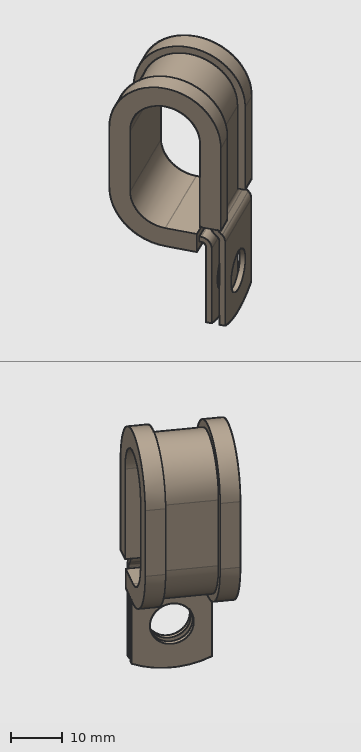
import cadquery as cq
import math

width = 18.9
height = 55.75
loop_width = 22.8
opening_width = 14.3
outer_radius = loop_width / 2
opening_radius = opening_width / 2
bend_spacing = 14.2
right_leg_end_z = -5.35
lower_leg_end_x = 6.5

groove_width = 10.8
groove_depth = 1.55
strip_width = 15.95
strip_thickness = 1.15
strip_outer_radius = outer_radius - groove_depth
strip_inner_radius = strip_outer_radius - strip_thickness

tab_bottom_z = bend_spacing + outer_radius - height
near_tab_x = 9.05
far_tab_overhang = 0.4
far_tab_x = outer_radius + far_tab_overhang
bend_outer_radius = 2.2
bend_inner_radius = bend_outer_radius - strip_thickness
jog_upper_radius = 1.5
tab_end_sagitta = 1.6
hole_diameter = 8.7
hole_to_tab_end = 9.5
hole_z = tab_bottom_z + hole_to_tab_end

diagonal = math.sqrt(0.5)


def extrude_centred(profile, depth):
    """Extrude an XZ outline equally to both sides of the Y = 0 plane."""
    return profile.extrude(depth / 2, both=True)


def loop_band(outer, inner, depth):
    """J-shaped band between two concentric loop outlines."""
    profile = (
        cq.Workplane("XZ")
        .moveTo(outer, right_leg_end_z)
        .lineTo(outer, bend_spacing)
        .threePointArc((0, bend_spacing + outer), (-outer, bend_spacing))
        .lineTo(-outer, 0)
        .threePointArc((-outer * diagonal, -outer * diagonal), (0, -outer))
        .lineTo(lower_leg_end_x, -outer)
        .lineTo(lower_leg_end_x, -inner)
        .lineTo(0, -inner)
        .threePointArc((-inner * diagonal, -inner * diagonal), (-inner, 0))
        .lineTo(-inner, bend_spacing)
        .threePointArc((0, bend_spacing + inner), (inner, bend_spacing))
        .lineTo(inner, right_leg_end_z)
        .close()
    )
    return extrude_centred(profile, depth)


def cushion():
    """Rubber loop with a groove around its outside."""
    body = loop_band(outer_radius, opening_radius, width)
    return body.cut(loop_band(outer_radius, strip_outer_radius, groove_width))


def near_tab():
    """Tab turned down through a right angle from the lower leg."""
    centre_x = near_tab_x - bend_outer_radius
    centre_z = -strip_inner_radius - bend_outer_radius
    inner_reach = bend_inner_radius * diagonal
    outer_reach = bend_outer_radius * diagonal
    profile = (
        cq.Workplane("XZ")
        .moveTo(lower_leg_end_x, -strip_inner_radius)
        .lineTo(centre_x, -strip_inner_radius)
        .threePointArc((centre_x + outer_reach, centre_z + outer_reach), (near_tab_x, centre_z))
        .lineTo(near_tab_x, tab_bottom_z)
        .lineTo(near_tab_x - strip_thickness, tab_bottom_z)
        .lineTo(near_tab_x - strip_thickness, centre_z)
        .threePointArc(
            (centre_x + inner_reach, centre_z + inner_reach),
            (centre_x, -strip_outer_radius),
        )
        .lineTo(lower_leg_end_x, -strip_outer_radius)
        .close()
    )
    return extrude_centred(profile, strip_width)


def far_tab():
    """Tab jogged outward at 45 degrees below the right leg."""
    upper_x = strip_outer_radius + jog_upper_radius
    upper_z = right_leg_end_z
    lower_x = far_tab_x - bend_outer_radius
    lower_z = upper_z + (upper_x - lower_x) - (jog_upper_radius + bend_outer_radius) / diagonal

    def upper_point(radius, angle):
        turn = math.radians(angle)
        return upper_x - radius * math.cos(turn), upper_z - radius * math.sin(turn)

    def lower_point(radius, angle):
        turn = math.radians(angle)
        return lower_x + radius * math.cos(turn), lower_z + radius * math.sin(turn)

    jog_left_radius = jog_upper_radius + strip_thickness
    profile = (
        cq.Workplane("XZ")
        .moveTo(*upper_point(jog_upper_radius, 0))
        .threePointArc(upper_point(jog_upper_radius, 22.5), upper_point(jog_upper_radius, 45))
        .lineTo(*lower_point(bend_outer_radius, 45))
        .threePointArc(lower_point(bend_outer_radius, 22.5), lower_point(bend_outer_radius, 0))
        .lineTo(far_tab_x, tab_bottom_z)
        .lineTo(far_tab_x - strip_thickness, tab_bottom_z)
        .lineTo(*lower_point(bend_inner_radius, 0))
        .threePointArc(lower_point(bend_inner_radius, 22.5), lower_point(bend_inner_radius, 45))
        .lineTo(*upper_point(jog_left_radius, 45))
        .threePointArc(upper_point(jog_left_radius, 22.5), upper_point(jog_left_radius, 0))
        .close()
    )
    return extrude_centred(profile, strip_width)


def tab_outline():
    """Plate along X with a rounded lower end and a bolt hole, used to trim both tabs."""
    half_width = strip_width / 2
    corner_z = tab_bottom_z + tab_end_sagitta
    return (
        cq.Workplane("YZ")
        .moveTo(-half_width, 0)
        .lineTo(-half_width, corner_z)
        .threePointArc((0, tab_bottom_z), (half_width, corner_z))
        .lineTo(half_width, 0)
        .close()
        .moveTo(0, hole_z)
        .circle(hole_diameter / 2)
        .extrude(far_tab_x)
    )


tabs = near_tab().union(far_tab()).intersect(tab_outline())
strip_loop = loop_band(strip_outer_radius, strip_inner_radius, strip_width)
result = cushion().union(strip_loop).union(tabs)